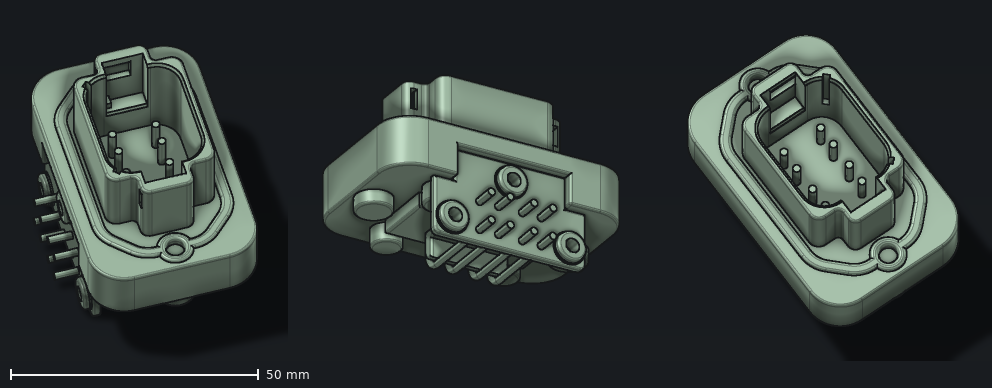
import cadquery as cq
import math

flange_length = 55.12
flange_width = 35.25
flange_height = 11.2
flange_corner_radius = 7.6
edge_fillet = 0.5

margin = 0.05

ridge_height = 0.55
ridge_fillet = 0.76
ridge_width = 2.56
ridge_half_length = 23.8
ridge_half_width = 14.75
ridge_diagonal_sum = 30.85
ridge_corner_radius = 7.6
mount_x = 22.6
mount_collar_radius = 3.8
mount_hole_radius = 1.9
mount_hole_depth = 1.85
mount_boss_radius = 4.1

shroud_top = 25.94
shroud_half_length = 13.55
shroud_half_width = 11.45
shroud_corner_radius = 2.4
wing_half_length = 18.3
wing_half_width = 5.55
wing_corner_radius = 1.85
wing_root_radius = 1.2

cavity_half_length = 12.24
cavity_half_width = 9.84
cavity_corner_radius = 5.0
cavity_floor = 6.0
mouth_chamfer = 0.55
pocket_half_length = 15.7
pocket_half_width = 4.32
pocket_floor = 12.9
stop_length = 1.95
stop_width = 1.45
stop_height = 1.5
key_width = 1.45
key_reach = 6.15

slot_outer_x = 17.05
slot_end_y = 1.8
slot_bottom = 19.55
slot_top = 24.1

body_half_length = 16.0
body_half_width = 6.95
body_depth = 3.1
stud_y = 10.63
stud_radius = 3.37
stud_depth = 4.15
leg_half_length = 9.0
leg_back_y = 3.15
leg_front_y = 0.46
leg_bottom = -9.45
leg_corner_radius = 2.0
leg_slope_top_y = -1.6
leg_slope_bottom = -5.1

pin_radius = 0.8
pin_columns = (-7.15, -2.75, 2.75, 7.15)
pin_row_y = 4.55
pin_top = 13.0
overall_width = 38.58
pin_tip_y = flange_width / 2 - overall_width
pin_bend_radius = 3.3
rear_pin_level = -10.33
front_pin_level = -3.95

overall_height = 39.24
plate_bottom = shroud_top - overall_height
plate_back_y = -14.05
plate_front_y = -15.9
plate_half_width = 17.55
plate_tab_half_width = 12.9
plate_tab_top = 6.75
plate_shoulder = -0.4
plate_corner_radius = 1.3

eyelet_x = 13.6
lower_eyelet_z = -9.25
upper_eyelet_z = 2.2
eyelet_head_radius = 3.37
eyelet_base_radius = 3.57
eyelet_base_length = 0.4
eyelet_length = 1.65
eyelet_fillet = 0.6
eyelet_hole_radius = 1.55


def block(x_min, x_max, y_min, y_max, z_min, z_max):
    """Axis-aligned box between the given limits."""
    size = (x_max - x_min, y_max - y_min, z_max - z_min)
    return cq.Workplane("XY").box(*size, centered=False).translate((x_min, y_min, z_min))


def centred_block(half_length, half_width, z_min, z_max):
    """Box centred on the Z axis."""
    return block(-half_length, half_length, -half_width, half_width, z_min, z_max)


def cylinder(x, y, radius, z_min, z_max):
    """Upright cylinder."""
    return cq.Workplane("XY", origin=(x, y, z_min)).circle(radius).extrude(z_max - z_min)


def make_flange():
    flange = centred_block(flange_length / 2, flange_width / 2, 0, flange_height)
    flange = flange.edges("|Z").fillet(flange_corner_radius)
    flange = flange.faces(">Z or <Z").edges().fillet(edge_fillet)
    notch = block(-plate_tab_half_width, plate_tab_half_width, -flange_width, plate_front_y + edge_fillet,
                  -edge_fillet, plate_tab_top)
    flange = flange.cut(notch)
    rim = cq.selectors.BoxSelector(
        (-plate_tab_half_width - margin, -flange_width / 2 - margin, edge_fillet),
        (plate_tab_half_width + margin, -flange_width / 2 + margin, plate_tab_top + margin),
    )
    return flange.edges(rim).fillet(edge_fillet)


def ridge_octagon(inset):
    """Solid with the ridge outline moved inwards by inset."""
    half_length = ridge_half_length - inset
    half_width = ridge_half_width - inset
    diagonal = ridge_diagonal_sum - inset * math.sqrt(2)
    long_end = diagonal - half_width
    short_end = diagonal - half_length
    points = [
        (long_end, half_width), (half_length, short_end),
        (half_length, -short_end), (long_end, -half_width),
        (-long_end, -half_width), (-half_length, -short_end),
        (-half_length, short_end), (-long_end, half_width),
    ]
    base = flange_height + ridge_height - ridge_fillet
    solid = cq.Workplane("XY", origin=(0, 0, base)).polyline(points).close().extrude(ridge_fillet)
    return solid.edges("|Z").fillet(ridge_corner_radius - inset)


def make_ridge():
    ridge = ridge_octagon(0).cut(ridge_octagon(ridge_width))
    return ridge.faces(">Z").edges().fillet(ridge_fillet - margin)


def add_mounts(body):
    """Collar, hole and underside boss at each end of the flange."""
    top = flange_height + ridge_height
    hole_floor = top - mount_hole_depth
    for x in (-mount_x, mount_x):
        collar = cylinder(x, 0, mount_collar_radius, flange_height / 2, top)
        collar = collar.faces(">Z").edges().fillet(ridge_fillet)
        boss = cylinder(x, 0, mount_boss_radius, -body_depth, flange_height / 2)
        boss = boss.faces("<Z").edges().fillet(edge_fillet)
        body = body.union(collar).union(boss)
        mouth = (
            cq.Workplane("XZ", origin=(x, 0, 0))
            .moveTo(0, hole_floor)
            .lineTo(mount_hole_radius, hole_floor)
            .lineTo(mount_hole_radius, top - ridge_fillet)
            .radiusArc((mount_hole_radius + ridge_fillet, top), ridge_fillet)
            .lineTo(0, top)
            .close()
            .revolve(360, (0, 0, 0), (0, 1, 0))
        )
        body = body.cut(mouth)
    return body


def make_shroud():
    base = flange_height - edge_fillet
    main = centred_block(shroud_half_length, shroud_half_width, base, shroud_top)
    main = main.edges("|Z").fillet(shroud_corner_radius)
    wings = centred_block(wing_half_length, wing_half_width, base, shroud_top)
    wings = wings.edges("|Z").fillet(wing_corner_radius)
    shroud = main.union(wings)
    root = cq.selectors.BoxSelector(
        (-shroud_half_length - margin, -wing_half_width - margin, base - margin),
        (shroud_half_length + margin, wing_half_width + margin, shroud_top + margin),
    )
    shroud = shroud.edges("|Z").edges(root).fillet(wing_root_radius)
    return shroud.faces(">Z").edges().fillet(edge_fillet)


def cut_cavity(body):
    cavity = centred_block(cavity_half_length, cavity_half_width, cavity_floor, shroud_top)
    cavity = cavity.edges("|Z").fillet(cavity_corner_radius)
    mouth = (
        cavity.faces(">Z").wires().toPending()
        .workplane().offset2D(mouth_chamfer)
        .extrude(-mouth_chamfer, taper=45, combine=False)
    )
    pockets = centred_block(pocket_half_length, pocket_half_width, pocket_floor, shroud_top)
    ledge_relief = centred_block(cavity_half_length + edge_fillet, pocket_half_width,
                                 pocket_floor - edge_fillet, pocket_floor)
    ledge_relief = ledge_relief.faces("<Z").edges("|Y").chamfer(edge_fillet - margin)
    body = body.cut(cavity).cut(mouth).cut(pockets).cut(ledge_relief)
    corner_x = cavity_half_length - cavity_corner_radius
    corner_y = cavity_half_width - cavity_corner_radius
    for side in (-1, 1):
        key = block(-key_width / 2, key_width / 2, -key_reach, 0, pocket_floor, shroud_top)
        key = key.rotate((0, 0, 0), (0, 0, 1), side * 45)
        body = body.cut(key.translate((side * corner_x, -corner_y, 0)))
    stop = block(-pocket_half_length, stop_length - pocket_half_length,
                 -pocket_half_width, stop_width - pocket_half_width,
                 pocket_floor, pocket_floor + stop_height)
    return body.union(stop)


def cut_latch_slots(body):
    """Slots in the pocket end walls that open through the -Y side of the wings."""
    slot_inner_x = pocket_half_length - margin
    for x_min, x_max in ((slot_inner_x, slot_outer_x), (-slot_outer_x, -slot_inner_x)):
        body = body.cut(block(x_min, x_max, -shroud_half_width, slot_end_y, slot_bottom, slot_top))
    return body


def make_lower_body():
    lower = centred_block(body_half_length, body_half_width, -body_depth, edge_fillet)
    lower = lower.faces("<Z").edges().fillet(edge_fillet)
    for x in (-eyelet_x, eyelet_x):
        for y in (-stud_y, stud_y):
            stud = cylinder(x, y, stud_radius, -stud_depth, edge_fillet)
            lower = lower.union(stud.faces("<Z").edges().fillet(edge_fillet))
    return lower


def make_leg():
    points = [
        (leg_back_y, 0), (leg_back_y, leg_bottom), (leg_front_y, leg_bottom),
        (leg_front_y, leg_slope_bottom), (leg_slope_top_y, -body_depth), (leg_slope_top_y, 0),
    ]
    leg = cq.Workplane("YZ", origin=(-leg_half_length, 0, 0)).polyline(points).close()
    leg = leg.extrude(2 * leg_half_length)
    leg = leg.edges("|X").edges("<Z").edges(">Y").fillet(leg_corner_radius)
    return leg.faces("<X or >X").edges().fillet(edge_fillet)


def make_pin(x, y, level):
    """Round pin that drops from the cavity and bends towards -Y."""
    bend_top = level + pin_bend_radius
    bend_end_y = y - pin_bend_radius
    offset = pin_bend_radius * math.sqrt(0.5)
    path = (
        cq.Workplane("YZ", origin=(x, 0, 0))
        .moveTo(y, pin_top)
        .lineTo(y, bend_top)
        .threePointArc((bend_end_y + offset, bend_top - offset), (bend_end_y, level))
        .lineTo(pin_tip_y, level)
    )
    return cq.Workplane("XY", origin=(x, y, pin_top)).circle(pin_radius).sweep(path)


def make_plate():
    points = [
        (-plate_half_width, plate_bottom), (plate_half_width, plate_bottom),
        (plate_half_width, plate_shoulder), (plate_tab_half_width, plate_shoulder),
        (plate_tab_half_width, plate_tab_top), (-plate_tab_half_width, plate_tab_top),
        (-plate_tab_half_width, plate_shoulder), (-plate_half_width, plate_shoulder),
    ]
    plate = cq.Workplane("XZ", origin=(0, plate_back_y, 0)).polyline(points).close()
    plate = plate.extrude(plate_back_y - plate_front_y)
    plate = plate.edges("|Y").edges("<Z").fillet(plate_corner_radius)
    return plate.faces("<Y or >Y").edges().fillet(edge_fillet)


def add_eyelets(body):
    for x, z in ((-eyelet_x, lower_eyelet_z), (eyelet_x, lower_eyelet_z), (0, upper_eyelet_z)):
        face = cq.Workplane("XZ", origin=(x, plate_front_y, z))
        base = face.circle(eyelet_base_radius).extrude(eyelet_base_length)
        head = face.workplane(offset=eyelet_base_length).circle(eyelet_head_radius)
        head = head.extrude(eyelet_length - eyelet_base_length)
        head = head.faces("<Y").edges().fillet(eyelet_fillet)
        body = body.union(base).union(head)
        hole_end = plate_back_y - plate_front_y
        hole = face.workplane(offset=-hole_end).circle(eyelet_hole_radius)
        body = body.cut(hole.extrude(hole_end + eyelet_length))
    return body


body = make_flange().union(make_ridge()).union(make_shroud())
body = body.union(make_lower_body()).union(make_leg())
body = add_mounts(body)
body = cut_cavity(body)
body = cut_latch_slots(body)
body = body.union(make_plate())
body = add_eyelets(body)
for pin_x in pin_columns:
    body = body.union(make_pin(pin_x, pin_row_y, rear_pin_level))
    body = body.union(make_pin(pin_x, -pin_row_y, front_pin_level))

result = body